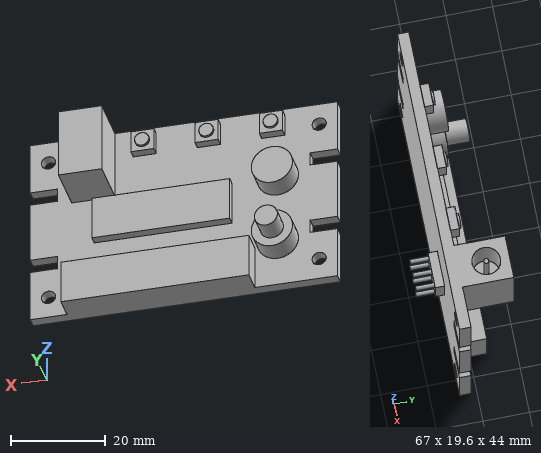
import cadquery as cq

BOARD_WIDTH = 67
BOARD_HEIGHT = 44.0
BOARD_THICKNESS = 2.5
MOUNT_HOLE_DIAMETER = 3.0
MOUNT_HOLE_INSET_X = 4.0
MOUNT_HOLE_INSET_Z = 5.0
NOTCH_DEPTH = 5.95
NOTCH_HEIGHT = 3.0
NOTCH_CENTER_OFFSET = 8.5

HEADER_CENTER = (47.05, 23.0)
HEADER_WIDTH = 7.9
HEADER_HEIGHT = 5.9
HEADER_DEPTH = 2.0
PIN_DIAMETER = 1.1
PIN_LENGTH = 4.0
PIN_COLUMNS = 3
PIN_ROWS = 2
PIN_PITCH_X = 3.0
PIN_PITCH_Z = 4.0

JACK_CENTER_X = 53.2
JACK_WIDTH = 9.45
JACK_HEIGHT = 16.0
JACK_DEPTH = 11.05
SOCKET_DIAMETER = 6.0
SOCKET_DEPTH = 9.0
SOCKET_OFFSET = 6.0
CONTACT_DIAMETER = 1.1

ROUND_CENTER_X = 13.0
ROUND_DIAMETER = 9.0
ROUND_DEPTH = 5.0
LOWER_ROUND_Z = 11.05
UPPER_ROUND_Z = 27.1
SHAFT_DIAMETER = 5.0
SHAFT_LENGTH = 5.0

BLOCK_LEFT = 18.0
BLOCK_WIDTH = 40.95
BLOCK_HEIGHT = 10.0
BLOCK_DEPTH = ROUND_DEPTH

CHIP_LEFT = 23.0
CHIP_BOTTOM = 17.1
CHIP_WIDTH = 30.0
CHIP_HEIGHT = 10.0
CHIP_DEPTH = 2.0

BUTTON_COUNT = 3
FIRST_BUTTON_X = 14.0
BUTTON_PITCH = 14.0
BUTTON_Z = 39.9
BUTTON_SIZE = 5.0
BUTTON_DEPTH = 2.0
CAP_DIAMETER = 3.15
CAP_DEPTH = 0.55


def box(left, bottom, width, height, y_start, depth):
    """Box given by its lower left corner, reaching from y_start towards +Y."""
    return cq.Workplane("XY").box(width, depth, height, centered=False).translate((left, y_start, bottom))


def centered_box(x, z, width, height, y_start, depth):
    """Box centred on (x, z), reaching from y_start towards +Y."""
    return box(x - width / 2, z - height / 2, width, height, y_start, depth)


def cylinder(x, z, diameter, y_start, depth):
    """Cylinder along Y, reaching from y_start towards +Y."""
    axis = cq.Vector(0, 1, 0)
    return cq.Workplane(cq.Solid.makeCylinder(diameter / 2, depth, cq.Vector(x, y_start, z), axis))


def make_board():
    board = box(0, 0, BOARD_WIDTH, BOARD_HEIGHT, 0, BOARD_THICKNESS)
    for x in (MOUNT_HOLE_INSET_X, BOARD_WIDTH - MOUNT_HOLE_INSET_X):
        for z in (MOUNT_HOLE_INSET_Z, BOARD_HEIGHT - MOUNT_HOLE_INSET_Z):
            board = board.cut(cylinder(x, z, MOUNT_HOLE_DIAMETER, 0, BOARD_THICKNESS))
    for edge_x in (0, BOARD_WIDTH):
        for offset in (-NOTCH_CENTER_OFFSET, NOTCH_CENTER_OFFSET):
            z = BOARD_HEIGHT / 2 + offset
            board = board.cut(centered_box(edge_x, z, 2 * NOTCH_DEPTH, NOTCH_HEIGHT, 0, BOARD_THICKNESS))
    return board


def make_header():
    center_x, center_z = HEADER_CENTER
    header = centered_box(center_x, center_z, HEADER_WIDTH, HEADER_HEIGHT, -HEADER_DEPTH, HEADER_DEPTH)
    for column in range(PIN_COLUMNS):
        x = center_x + (column - (PIN_COLUMNS - 1) / 2) * PIN_PITCH_X
        for row in range(PIN_ROWS):
            z = center_z + (row - (PIN_ROWS - 1) / 2) * PIN_PITCH_Z
            header = header.union(cylinder(x, z, PIN_DIAMETER, -HEADER_DEPTH - PIN_LENGTH, PIN_LENGTH))
    return header


def make_jack():
    """Block with a blind socket in its top face and a contact pin standing in the socket."""
    bottom = BOARD_HEIGHT - JACK_HEIGHT
    jack = box(JACK_CENTER_X - JACK_WIDTH / 2, bottom, JACK_WIDTH, JACK_HEIGHT, BOARD_THICKNESS, JACK_DEPTH)
    socket = (
        cq.Workplane("XY", origin=(JACK_CENTER_X, BOARD_THICKNESS + SOCKET_OFFSET, BOARD_HEIGHT - SOCKET_DEPTH))
        .circle(SOCKET_DIAMETER / 2)
        .circle(CONTACT_DIAMETER / 2)
        .extrude(SOCKET_DEPTH)
    )
    return jack.cut(socket)


def make_round_components():
    lower = cylinder(ROUND_CENTER_X, LOWER_ROUND_Z, ROUND_DIAMETER, BOARD_THICKNESS, ROUND_DEPTH)
    upper = cylinder(ROUND_CENTER_X, UPPER_ROUND_Z, ROUND_DIAMETER, BOARD_THICKNESS, ROUND_DEPTH)
    shaft_start = BOARD_THICKNESS + ROUND_DEPTH
    shaft = cylinder(ROUND_CENTER_X, LOWER_ROUND_Z, SHAFT_DIAMETER, shaft_start, SHAFT_LENGTH)
    return lower.union(shaft).union(upper)


def make_button(x):
    body = centered_box(x, BUTTON_Z, BUTTON_SIZE, BUTTON_SIZE, BOARD_THICKNESS, BUTTON_DEPTH)
    cap = cylinder(x, BUTTON_Z, CAP_DIAMETER, BOARD_THICKNESS + BUTTON_DEPTH, CAP_DEPTH)
    return body.union(cap)


result = make_board()
result = result.union(make_header())
result = result.union(make_jack())
result = result.union(make_round_components())
result = result.union(box(BLOCK_LEFT, 0, BLOCK_WIDTH, BLOCK_HEIGHT, BOARD_THICKNESS, BLOCK_DEPTH))
result = result.union(box(CHIP_LEFT, CHIP_BOTTOM, CHIP_WIDTH, CHIP_HEIGHT, BOARD_THICKNESS, CHIP_DEPTH))
for index in range(BUTTON_COUNT):
    result = result.union(make_button(FIRST_BUTTON_X + index * BUTTON_PITCH))